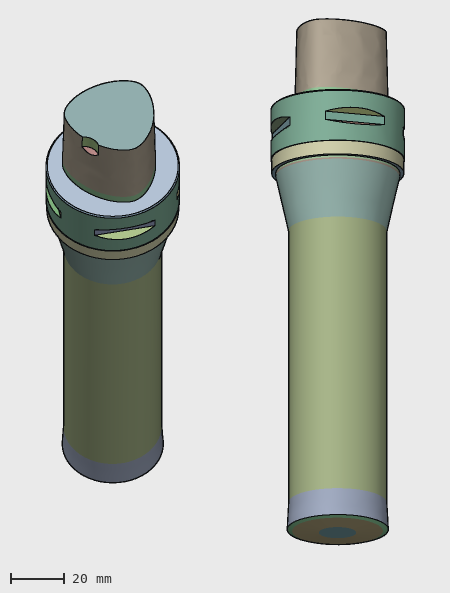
import cadquery as cq
import math


flange_diameter = 50.0
flange_length = 20.0
flange_chamfer = 0.5

polygon_length = 30.0
polygon_straight_length = 3.0
polygon_base_width = 34.9
taper_ratio = 1 / 20
lobe_height = 1.4
lobe_count = 3
lobe_direction = 90.0
polygon_points = 72

notch_radius = 5.8
notch_bottom_y = -13.9
notch_depth = 5.6

slot_count = 4
slot_first_angle = 45.0
slot_center_z = -10.15
slot_floor_height = 3.2
slot_floor_distance = 22.2
slot_flank_angle = 30.0

collar_diameter = 49.5
collar_bottom_z = -25.3
neck_diameter = 46.5
neck_length = 0.9
neck_chamfer_height = 0.6
neck_chamfer_width = 0.1
shank_diameter = 36.8
cone_bottom_z = -48.0
end_band_top_z = -154.3
end_diameter = 37.9
end_chamfer_width = 2.0
end_chamfer_height = 0.7
end_cone_height = 0.6
end_face_diameter = 14.0
shank_bottom_z = -166.0


def polygon_outline(width):
    """Points of the constant-width curve with support width / 2 + lobe_height * cos(3 * angle)."""
    points = []
    for i in range(polygon_points):
        angle = 2 * math.pi * i / polygon_points
        normal = angle + math.radians(lobe_direction)
        support = width / 2 + lobe_height * math.cos(lobe_count * angle)
        slope = -lobe_count * lobe_height * math.sin(lobe_count * angle)
        x = support * math.cos(normal) - slope * math.sin(normal)
        y = support * math.sin(normal) + slope * math.cos(normal)
        points.append((x, y))
    return points


def make_polygon():
    """Straight foot below a tapered polygon."""
    taper_length = polygon_length - polygon_straight_length
    top_width = polygon_base_width - taper_length * taper_ratio
    foot = (
        cq.Workplane("XY")
        .spline(polygon_outline(polygon_base_width), periodic=True)
        .close()
        .extrude(polygon_straight_length)
    )
    taper = (
        cq.Workplane("XY", origin=(0, 0, polygon_straight_length))
        .spline(polygon_outline(polygon_base_width), periodic=True)
        .close()
        .workplane(offset=taper_length)
        .spline(polygon_outline(top_width), periodic=True)
        .close()
        .loft(ruled=True)
    )
    return foot.union(taper)


def make_notch():
    """Upright round groove whose floor is a cone falling at 45 degrees toward the groove axis."""
    wall_bottom_z = polygon_length - notch_depth
    return (
        cq.Workplane("XZ", origin=(0, notch_bottom_y - notch_radius, 0))
        .moveTo(0, polygon_length)
        .lineTo(notch_radius, polygon_length)
        .lineTo(notch_radius, wall_bottom_z)
        .lineTo(0, wall_bottom_z - notch_radius)
        .close()
        .revolve(360, (0, 0), (0, 1))
    )


def make_slot(angle):
    """Straight slot with a flat floor and flared flanks, facing outward at the given angle."""
    reach = flange_diameter / 2 - slot_floor_distance
    half_floor = slot_floor_height / 2
    half_mouth = half_floor + reach * math.tan(math.radians(slot_flank_angle))
    return (
        cq.Workplane("XZ")
        .moveTo(slot_floor_distance, slot_center_z - half_floor)
        .lineTo(slot_floor_distance + reach, slot_center_z - half_mouth)
        .lineTo(slot_floor_distance + reach, slot_center_z + half_mouth)
        .lineTo(slot_floor_distance, slot_center_z + half_floor)
        .close()
        .extrude(flange_diameter / 2, both=True)
        .rotate((0, 0, 0), (0, 0, 1), angle)
    )


def make_coupling():
    """Chamfered flange with gripper slots, carrying the notched polygon taper."""
    body = cq.Workplane("XY").circle(flange_diameter / 2).extrude(-flange_length)
    body = body.faces(">Z").chamfer(flange_chamfer)
    for i in range(slot_count):
        body = body.cut(make_slot(slot_first_angle + i * 360 / slot_count))
    return body.union(make_polygon()).cut(make_notch())


def make_shank():
    """Turned body: collar, short neck, cone, cylinder, flared end band, chamfer and shallow end cone."""
    neck_bottom_z = collar_bottom_z - neck_length
    end_cone_top_z = shank_bottom_z + end_cone_height
    return (
        cq.Workplane("XZ")
        .moveTo(0, -flange_length)
        .lineTo(collar_diameter / 2, -flange_length)
        .lineTo(collar_diameter / 2, collar_bottom_z)
        .lineTo(neck_diameter / 2, collar_bottom_z)
        .lineTo(neck_diameter / 2, neck_bottom_z)
        .lineTo(neck_diameter / 2 - neck_chamfer_width, neck_bottom_z - neck_chamfer_height)
        .lineTo(shank_diameter / 2, cone_bottom_z)
        .lineTo(shank_diameter / 2, end_band_top_z)
        .lineTo(end_diameter / 2, end_cone_top_z + end_chamfer_height)
        .lineTo(end_diameter / 2 - end_chamfer_width, end_cone_top_z)
        .lineTo(end_face_diameter / 2, shank_bottom_z)
        .lineTo(0, shank_bottom_z)
        .close()
        .revolve(360, (0, 0), (0, 1))
    )


coupling = make_coupling()
shank = make_shank()

result = cq.Compound.makeCompound([coupling.val(), shank.val()])